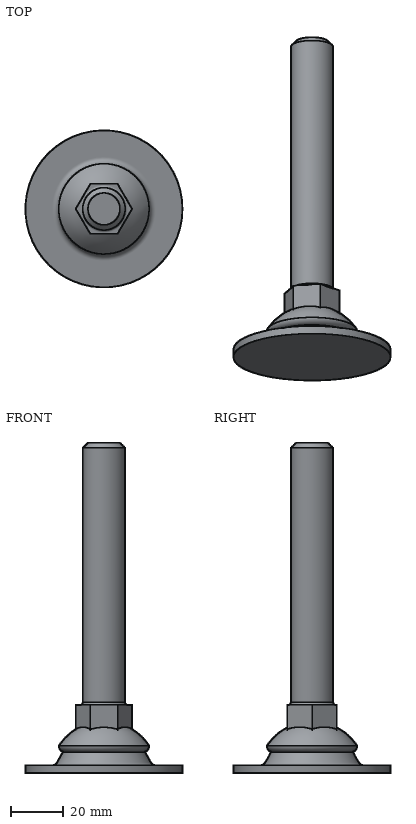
import cadquery as cq
import math

plate_radius = 30.0
plate_thickness = 3.0
neck_foot_radius = 18.5
neck_angle = 61.0
neck_top_z = 8.0
neck_fillet = 2.1

rim_radius = 17.25
rim_top_z = 10.5
rim_fillet = 2.3
dome_sphere_radius = 20.7

hex_width = 19.0
hex_corner_width = 21.5
hex_flat_length = 10.4
hex_bottom_z = 15.0
hex_top_z = 26.0
collar_fillet = 1.0

stud_radius = 8.1
stud_top_z = 126.0
stud_chamfer = 2.0

collar_top_z = hex_top_z + collar_fillet


def make_base():
    neck_height = neck_top_z - plate_thickness
    neck_top_radius = neck_foot_radius - neck_height / math.tan(math.radians(neck_angle))
    profile = (
        cq.Workplane("XZ")
        .lineTo(plate_radius, 0)
        .lineTo(plate_radius, plate_thickness)
        .lineTo(neck_foot_radius, plate_thickness)
        .lineTo(neck_top_radius, neck_top_z)
        .lineTo(0, neck_top_z)
        .close()
    )
    base = profile.revolve(360, (0, 0, 0), (0, 1, 0))
    neck_foot = base.edges("%CIRCLE").edges(cq.selectors.RadiusNthSelector(1))
    return neck_foot.fillet(neck_fillet)


def make_hexagon():
    """Slightly uneven hexagonal prism with two corners on the X axis."""
    half_width = hex_width / 2
    half_corner = hex_corner_width / 2
    half_flat = hex_flat_length / 2
    corners = [
        (half_corner, 0),
        (half_flat, half_width),
        (-half_flat, half_width),
        (-half_corner, 0),
        (-half_flat, -half_width),
        (half_flat, -half_width),
    ]
    return (
        cq.Workplane("XY", origin=(0, 0, hex_bottom_z))
        .polyline(corners)
        .close()
        .extrude(hex_top_z - hex_bottom_z)
    )


def make_dome():
    sphere_center_z = rim_top_z - math.sqrt(dome_sphere_radius**2 - rim_radius**2)
    half_angle = math.asin(rim_radius / dome_sphere_radius) / 2
    cap_mid = (
        dome_sphere_radius * math.sin(half_angle),
        sphere_center_z + dome_sphere_radius * math.cos(half_angle),
    )
    cap_top = (0, sphere_center_z + dome_sphere_radius)
    profile = (
        cq.Workplane("XZ")
        .moveTo(0, neck_top_z)
        .lineTo(rim_radius - rim_fillet, neck_top_z)
        .radiusArc((rim_radius, neck_top_z + rim_fillet), -rim_fillet)
        .lineTo(rim_radius, rim_top_z)
        .threePointArc(cap_mid, cap_top)
        .close()
    )
    return profile.revolve(360, (0, 0, 0), (0, 1, 0)).cut(make_hexagon())


def make_nut():
    collar = (
        cq.Workplane("XZ")
        .moveTo(0, hex_top_z)
        .lineTo(stud_radius + collar_fillet, hex_top_z)
        .radiusArc((stud_radius, collar_top_z), collar_fillet)
        .lineTo(0, collar_top_z)
        .close()
        .revolve(360, (0, 0, 0), (0, 1, 0))
    )
    return make_hexagon().union(collar)


def make_stud():
    return (
        cq.Workplane("XY", origin=(0, 0, collar_top_z))
        .circle(stud_radius)
        .extrude(stud_top_z - collar_top_z)
        .faces(">Z")
        .chamfer(stud_chamfer)
    )


base = make_base()
dome = make_dome()
nut = make_nut()
stud = make_stud()

result = cq.Compound.makeCompound([base.val(), dome.val(), nut.val(), stud.val()])